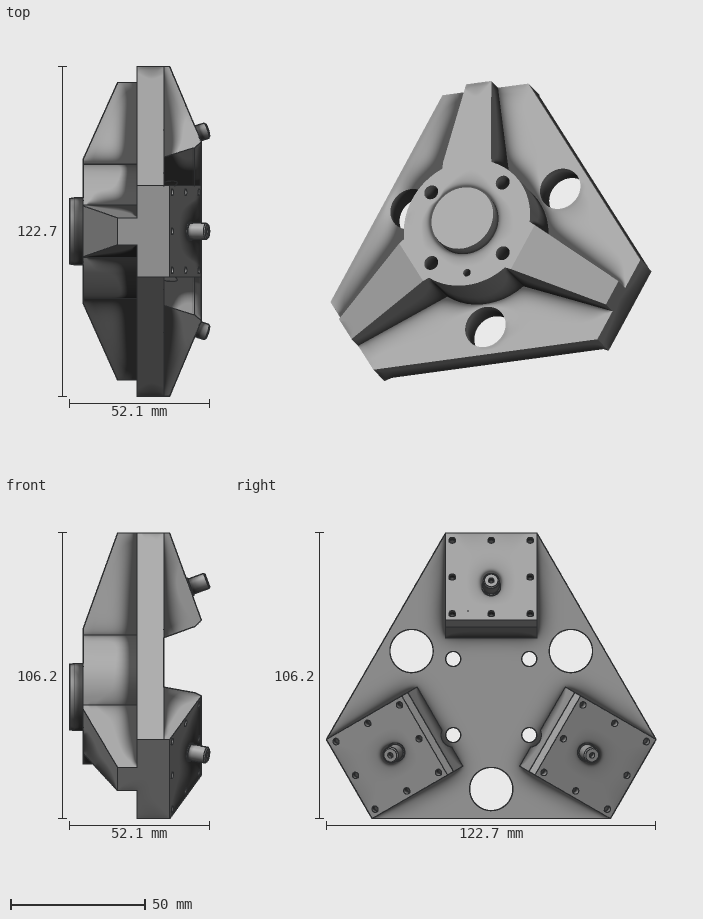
import cadquery as cq
import math


ARM_COUNT = 3
ARM_REACH = 61.0
ARM_WIDTH = 34.0
PLATE_FRONT = 20.0
PLATE_THICKNESS = 10.0
PLATE_BACK = PLATE_FRONT + PLATE_THICKNESS

HUB_RADIUS = 25.0
RIB_ROOT_REACH = 25.5
RIB_ROOT_WIDTH = 18.9
RIB_END_WIDTH = 10.0
RIB_END_X = 12.8
BOSS_HEIGHT = 5.0
BOSS_DIAMETER = 25.0
BOSS_TIP_DIAMETER = 24.4
BOSS_TAPER_LENGTH = 1.8

LARGE_HOLE_DIAMETER = 16.0
LARGE_HOLE_REACH = 34.2
BOLT_COUNT = 4
BOLT_HOLE_DIAMETER = 5.5
BOLT_HEAD_DIAMETER = 9.0
BOLT_CIRCLE_RADIUS = 20.0
PIN_HOLE_DIAMETER = 3.0
PIN_HOLE_DEPTH = 6.0

POD_TILT = math.radians(20.0)
POD_RIM_X = 32.2
POD_INNER_REACH = 22.0
POD_WALL_END_X = 40.8
POD_LIP_X = 41.4
POD_LIP_RISE = 0.1
POD_PEAK_X = 44.0

SCREW_PITCH = 14.5
SCREW_EDGE_OFFSET = 2.9
SCREW_HOLE_DIAMETER = 2.4
SCREW_HOLE_DEPTH = 4.0

CONNECTOR_OFFSET = 21.4
CONNECTOR_LENGTH = 7.15
CONNECTOR_DIAMETER = 6.0
CONNECTOR_CHAMFER = 0.5
FLANGE_DIAMETER = 7.0
FLANGE_THICKNESS = 0.5
SOCKET_DIAMETER = 2.0
SOCKET_DEPTH = 3.0

ARM_STEP = 360.0 / ARM_COUNT


def around_axis(body):
    """Join copies of a body placed at every arm."""
    copies = body
    for i in range(1, ARM_COUNT):
        copies = copies.union(body.rotate((0, 0, 0), (1, 0, 0), i * ARM_STEP))
    return copies


def cylinder_x(diameter, x_start, x_end, centres):
    """Cylinders along X at the given (y, z) centres."""
    return (
        cq.Workplane("YZ", origin=(x_start, 0, 0))
        .pushPoints(centres)
        .circle(diameter / 2)
        .extrude(x_end - x_start)
    )


def polar(radius, angle):
    """The (y, z) point at a radius and an angle in degrees from +Y."""
    return (radius * math.cos(math.radians(angle)), radius * math.sin(math.radians(angle)))


def make_plate():
    end_corner_radius = math.hypot(ARM_REACH, ARM_WIDTH / 2)
    half_end_angle = math.degrees(math.atan2(ARM_WIDTH / 2, ARM_REACH))
    corners = []
    for i in range(ARM_COUNT):
        arm_angle = 90 + i * ARM_STEP
        corners.append(polar(end_corner_radius, arm_angle - half_end_angle))
        corners.append(polar(end_corner_radius, arm_angle + half_end_angle))
    return (
        cq.Workplane("YZ", origin=(PLATE_FRONT, 0, 0))
        .polyline(corners)
        .close()
        .extrude(PLATE_THICKNESS)
    )


def make_rib():
    """Rib that narrows and slopes back from the hub face to the end of the arm."""
    widening_per_length = (RIB_ROOT_WIDTH - RIB_END_WIDTH) / (ARM_REACH - RIB_ROOT_REACH)
    axis_width = RIB_ROOT_WIDTH + widening_per_length * RIB_ROOT_REACH
    footprint = (
        cq.Workplane("YZ")
        .polyline([
            (-axis_width / 2, 0),
            (axis_width / 2, 0),
            (RIB_END_WIDTH / 2, ARM_REACH),
            (-RIB_END_WIDTH / 2, ARM_REACH),
        ])
        .close()
        .extrude(PLATE_FRONT)
    )
    side_profile = (
        cq.Workplane("XZ")
        .polyline([
            (0, 0),
            (0, RIB_ROOT_REACH),
            (RIB_END_X, ARM_REACH),
            (PLATE_FRONT, ARM_REACH),
            (PLATE_FRONT, 0),
        ])
        .close()
        .extrude(axis_width / 2, both=True)
    )
    return footprint.intersect(side_profile)


def make_boss():
    return (
        cq.Workplane("XY")
        .polyline([
            (0, 0),
            (-BOSS_HEIGHT, 0),
            (-BOSS_HEIGHT, BOSS_TIP_DIAMETER / 2),
            (BOSS_TAPER_LENGTH - BOSS_HEIGHT, BOSS_DIAMETER / 2),
            (0, BOSS_DIAMETER / 2),
        ])
        .close()
        .revolve(360, (0, 0, 0), (1, 0, 0))
    )


def make_pod():
    """Wedge behind the +Z arm; the inner wall is square to the cover."""
    wall_end_reach = POD_INNER_REACH + (POD_WALL_END_X - PLATE_BACK) * math.tan(POD_TILT)
    peak_reach = ARM_REACH - (POD_PEAK_X - POD_RIM_X) / math.tan(POD_TILT)
    return (
        cq.Workplane("XZ")
        .polyline([
            (PLATE_BACK, POD_INNER_REACH),
            (POD_WALL_END_X, wall_end_reach),
            (POD_LIP_X, wall_end_reach + POD_LIP_RISE),
            (POD_PEAK_X, peak_reach),
            (POD_RIM_X, ARM_REACH),
            (PLATE_BACK, ARM_REACH),
        ])
        .close()
        .extrude(ARM_WIDTH / 2, both=True)
    )


def cover_plane(lift=0.0):
    """Plane on the +Z cover: origin on its outer edge, local x down the slope, local y along Y."""
    normal = (math.cos(POD_TILT), 0, math.sin(POD_TILT))
    down_slope = (math.sin(POD_TILT), 0, -math.cos(POD_TILT))
    origin = (POD_RIM_X + lift * normal[0], 0, ARM_REACH + lift * normal[2])
    return cq.Plane(origin=origin, xDir=down_slope, normal=normal)


def make_cover_screw_holes():
    centres = []
    for row in (0, 1, 2):
        for column in (-1, 0, 1):
            if (row, column) != (1, 0):
                centres.append((SCREW_EDGE_OFFSET + row * SCREW_PITCH, column * SCREW_PITCH))
    return (
        cq.Workplane(cover_plane())
        .pushPoints(centres)
        .circle(SCREW_HOLE_DIAMETER / 2)
        .extrude(-SCREW_HOLE_DEPTH)
    )


def make_connector():
    flange = (
        cq.Workplane(cover_plane())
        .center(CONNECTOR_OFFSET, 0)
        .circle(FLANGE_DIAMETER / 2)
        .extrude(FLANGE_THICKNESS)
    )
    barrel = (
        cq.Workplane(cover_plane())
        .center(CONNECTOR_OFFSET, 0)
        .circle(CONNECTOR_DIAMETER / 2)
        .extrude(CONNECTOR_LENGTH)
        .faces(">X")
        .chamfer(CONNECTOR_CHAMFER)
    )
    socket = (
        cq.Workplane(cover_plane(CONNECTOR_LENGTH))
        .center(CONNECTOR_OFFSET, 0)
        .circle(SOCKET_DIAMETER / 2)
        .extrude(-SOCKET_DEPTH)
    )
    return flange.union(barrel).cut(socket)


large_hole_centres = [polar(LARGE_HOLE_REACH, 30 + i * ARM_STEP) for i in range(ARM_COUNT)]
bolt_centres = [polar(BOLT_CIRCLE_RADIUS, 45 + i * 360 / BOLT_COUNT) for i in range(BOLT_COUNT)]
pin_centre = polar(BOLT_CIRCLE_RADIUS, -90)

hub = cylinder_x(2 * HUB_RADIUS, 0, PLATE_FRONT, [(0, 0)])
pod = make_pod().cut(make_cover_screw_holes())

bolt_head_clearance = cylinder_x(BOLT_HEAD_DIAMETER, PLATE_BACK, POD_PEAK_X, bolt_centres)

result = (
    make_plate()
    .union(hub)
    .union(around_axis(make_rib()))
    .union(make_boss())
    .union(around_axis(pod))
    .cut(bolt_head_clearance)
    .cut(cylinder_x(LARGE_HOLE_DIAMETER, 0, POD_PEAK_X, large_hole_centres))
    .cut(cylinder_x(BOLT_HOLE_DIAMETER, 0, PLATE_BACK, bolt_centres))
    .cut(cylinder_x(PIN_HOLE_DIAMETER, 0, PIN_HOLE_DEPTH, [pin_centre]))
    .union(around_axis(make_connector()))
)